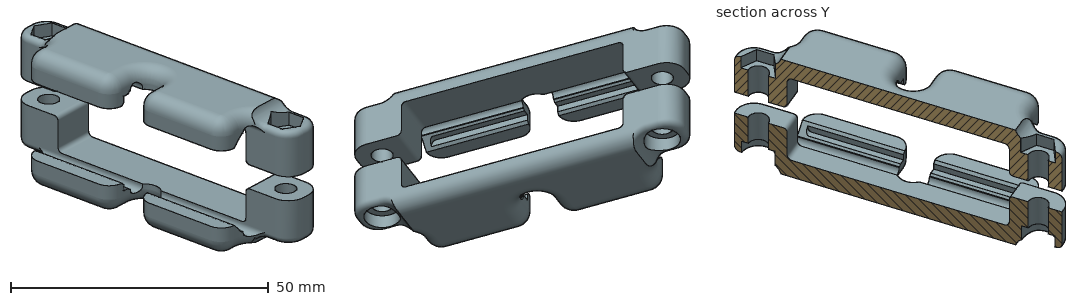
import cadquery as cq
import math


LENGTH = 70.2
DEPTH = 17.7
HEIGHT = 29.2
GAP = 5.2

EAR_DEPTH = 9.3
EAR_CORNER_RADIUS = 3.85
EAR_INNER_X = 23.75
EAR_TOP_DROP = 2.45
EAR_EDGE_RADIUS = 1.25
EAR_INNER_RADIUS = 1.0
SADDLE_RADIUS = 3.6

PLATE_HALF_LENGTH = 25.15
PLATE_EDGE_RADIUS = 3.15
LIP_CORNER_RADIUS = 3.2
FLARE_RADIUS = 3.65
SLOT_RADIUS = 3.2
SLOT_DEPTH = 9.4
FLOOR_DROP = 4.35
LIP_HEIGHT = 6.25
LIP_LAND = 3.2
GROOVE_RADIUS = 1.3
GROOVE_DROP = 3.9

BOLT_DIAMETER = 4.3
BOLT_X = 30.0
NUT_WIDTH = 6.4
HEAD_DIAMETER = 7.1
RECESS_FLOOR_DROP = 5.3

CLEARANCE = 0.7

HALF_LENGTH = LENGTH / 2
BACK_Y = EAR_DEPTH / 2
EAR_FRONT_Y = -EAR_DEPTH / 2
FRONT_Y = BACK_Y - DEPTH
TOP_Z = HEIGHT / 2
TIP_Z = GAP / 2
EAR_TOP_Z = TOP_Z - EAR_TOP_DROP
FLOOR_Z = TOP_Z - FLOOR_DROP
LIP_Z = TOP_Z - LIP_HEIGHT
GROOVE_Z = TOP_Z - GROOVE_DROP


def outline_prism():
    """Upright prism of the full plan outline, from the ear tips to the plate top."""
    ear_x = HALF_LENGTH - EAR_CORNER_RADIUS
    slot_y = FRONT_Y + SLOT_DEPTH
    return (
        cq.Workplane("XY", origin=(0, 0, TIP_Z))
        .moveTo(0, slot_y)
        .radiusArc((SLOT_RADIUS, slot_y - SLOT_RADIUS), SLOT_RADIUS)
        .lineTo(SLOT_RADIUS, FRONT_Y + LIP_CORNER_RADIUS)
        .radiusArc((SLOT_RADIUS + LIP_CORNER_RADIUS, FRONT_Y), -LIP_CORNER_RADIUS)
        .lineTo(PLATE_HALF_LENGTH - LIP_CORNER_RADIUS, FRONT_Y)
        .radiusArc((PLATE_HALF_LENGTH, FRONT_Y + LIP_CORNER_RADIUS), -LIP_CORNER_RADIUS)
        .lineTo(PLATE_HALF_LENGTH, EAR_FRONT_Y - FLARE_RADIUS)
        .radiusArc((PLATE_HALF_LENGTH + FLARE_RADIUS, EAR_FRONT_Y), FLARE_RADIUS)
        .lineTo(ear_x, EAR_FRONT_Y)
        .radiusArc((HALF_LENGTH, EAR_FRONT_Y + EAR_CORNER_RADIUS), -EAR_CORNER_RADIUS)
        .lineTo(HALF_LENGTH, BACK_Y - EAR_CORNER_RADIUS)
        .radiusArc((ear_x, BACK_Y), -EAR_CORNER_RADIUS)
        .lineTo(0, BACK_Y)
        .mirrorY()
        .extrude(TOP_Z - TIP_Z)
    )


def ear_envelope():
    """Outline prism stepped down to the ear tops, with the ear and saddle rims rounded."""
    saddle_run = math.sqrt(2 * SADDLE_RADIUS * EAR_TOP_DROP - EAR_TOP_DROP**2)
    saddle_x = PLATE_HALF_LENGTH + saddle_run
    rim_low_z = EAR_TOP_Z - EAR_EDGE_RADIUS / 2
    envelope = outline_prism()
    for side in (1, -1):
        step = (
            cq.Workplane("XZ", origin=(0, BACK_Y, 0))
            .moveTo(side * PLATE_HALF_LENGTH, TOP_Z)
            .radiusArc((side * saddle_x, EAR_TOP_Z), -side * SADDLE_RADIUS)
            .lineTo(side * HALF_LENGTH, EAR_TOP_Z)
            .lineTo(side * HALF_LENGTH, TOP_Z)
            .close()
            .extrude(DEPTH)
        )
        envelope = envelope.cut(step)
    for side in (1, -1):
        around_ear = cq.selectors.BoxSelector(
            (side * PLATE_HALF_LENGTH, FRONT_Y, rim_low_z),
            (side * (HALF_LENGTH + CLEARANCE), BACK_Y + CLEARANCE, TOP_Z),
        )
        saddle_start = cq.selectors.BoxSelector(
            (side * PLATE_HALF_LENGTH, EAR_FRONT_Y / 2, rim_low_z),
            (side * BOLT_X, BACK_Y / 2, TOP_Z + CLEARANCE),
        )
        envelope = envelope.edges(around_ear - saddle_start).fillet(EAR_EDGE_RADIUS)
    return envelope


def floor_cutter():
    """Space under the plate between the two ears, with the ears' inner tips rounded off."""
    width = 2 * EAR_INNER_X
    space = (
        cq.Workplane("XY", origin=(0, 0, TIP_Z))
        .rect(width, 2 * EAR_DEPTH)
        .extrude(FLOOR_Z - TIP_Z)
        .edges("|Y and >Z")
        .fillet(EAR_INNER_RADIUS)
    )
    for side in (1, -1):
        tip_rounding = (
            cq.Workplane("XZ", origin=(0, EAR_DEPTH, 0))
            .moveTo(side * EAR_INNER_X, TIP_Z)
            .lineTo(side * EAR_INNER_X, TIP_Z + EAR_INNER_RADIUS)
            .radiusArc((side * (EAR_INNER_X + EAR_INNER_RADIUS), TIP_Z), -side * EAR_INNER_RADIUS)
            .close()
            .extrude(2 * EAR_DEPTH)
        )
        space = space.union(tip_rounding)
    return space


def lip_cutter():
    """Space under the lips, with the groove along the ears and the sloped lip faces."""
    land_y = FRONT_Y + LIP_LAND
    slope_y = land_y + GROOVE_Z - LIP_Z
    groove_y = EAR_FRONT_Y - GROOVE_RADIUS
    return (
        cq.Workplane("YZ", origin=(-HALF_LENGTH, 0, 0))
        .moveTo(EAR_FRONT_Y, TIP_Z)
        .lineTo(EAR_FRONT_Y, GROOVE_Z)
        .threePointArc((groove_y, GROOVE_Z + GROOVE_RADIUS), (groove_y - GROOVE_RADIUS, GROOVE_Z))
        .lineTo(slope_y, GROOVE_Z)
        .lineTo(land_y, LIP_Z)
        .lineTo(FRONT_Y, LIP_Z)
        .lineTo(FRONT_Y, TIP_Z)
        .close()
        .extrude(LENGTH)
    )


def plain_shell():
    """Upper shell before its bolt holes and recesses are cut."""
    rounded = outline_prism().faces(">Z").edges().fillet(PLATE_EDGE_RADIUS)
    return rounded.intersect(ear_envelope()).cut(lip_cutter()).cut(floor_cutter())


def bolt_points(workplane):
    """Place both bolt axes on a workplane."""
    return workplane.pushPoints([(-BOLT_X, 0), (BOLT_X, 0)])


def bolted_shell(recess):
    """Upper shell with its bolt holes and the given recesses above the seats."""
    holes = bolt_points(cq.Workplane("XY")).circle(BOLT_DIAMETER / 2).extrude(TOP_Z)
    return plain_shell().cut(holes).cut(recess)


def seat_plane():
    """Plane of the nut and bolt head seats."""
    return cq.Workplane("XY", origin=(0, 0, TOP_Z - RECESS_FLOOR_DROP))


def nut_shell():
    """Upper shell with a hexagonal recess for a nut in each ear."""
    across_corners = NUT_WIDTH / math.cos(math.pi / 6)
    recess = bolt_points(seat_plane()).polygon(6, across_corners).extrude(RECESS_FLOOR_DROP)
    return bolted_shell(recess)


def head_shell():
    """Lower shell, facing the other way, with a round recess for a bolt head in each ear."""
    recess = bolt_points(seat_plane()).circle(HEAD_DIAMETER / 2).extrude(RECESS_FLOOR_DROP)
    return bolted_shell(recess).mirror("XY")


result = cq.Compound.makeCompound([nut_shell().val(), head_shell().val()])